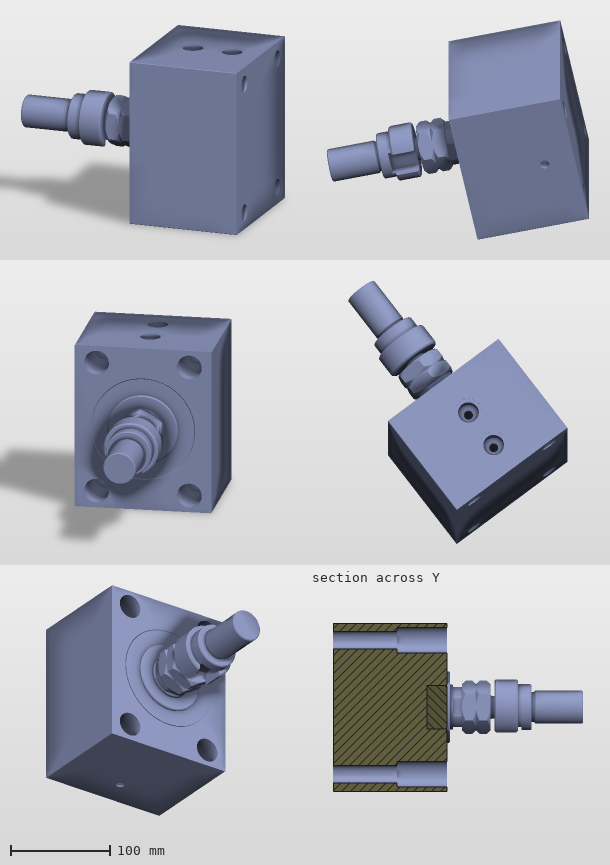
import cadquery as cq
import math


BLOCK_LENGTH = 115.0
BLOCK_WIDTH = 140.0
BLOCK_HEIGHT = 170.0
BLOCK_EDGE_CHAMFER = 0.5
BOLT_SPACING_Y = 95.0
BOLT_SPACING_Z = 135.0
BOLT_HOLE_DIAMETER = 17.1
BOLT_HEAD_DIAMETER = 25.2
BOLT_HEAD_DEPTH = 50.5

FRONT_PORT_X = 42.0
REAR_PORT_X = 2 * FRONT_PORT_X
PORT_SEAT_DIAMETER = 28.2
PORT_SEAT_DEPTH = 0.3
PORT_THREAD_DIAMETER = 21.0
PORT_THREAD_DEPTH = 13.4
PORT_PILOT_DIAMETER = 9.0

GLAND_DIAMETER = 104.8
GLAND_DEPTH = 20.2
GLAND_SEAT_CHAMFER = 1.0
FLANGE_DIAMETER = 72.0
FLANGE_HEIGHT = 3.0
FLANGE_CHAMFER = 1.0

ROD_DIAMETER = 45.4
ROD_CHAMFER = 0.8
ROD_TIP_DIAMETER = 44.4
ROD_TIP_CHAMFER = 0.5
ROD_FLATS_WIDTH = 40.3
ROD_SHOULDER_X = -6.3
ROD_TIP_X = -15
ROD_END_X = (FRONT_PORT_X + REAR_PORT_X) / 2

HEX_WIDTH = 46.5
NUT_HEIGHT = 14.0
COUPLING_HEX_HEIGHT = 14.4
HEX_CHAMFER_ANGLE = 45
SHANK_DIAMETER = 22.7
SHANK_ENGAGEMENT = SHANK_DIAMETER

NECK_LENGTH = 4.3
NECK_DIAMETER = 22.7
NECK_FOOT_DIAMETER = 24.2
NECK_FOOT_LENGTH = 1.5
HEAD_DIAMETER = 56.0
HEAD_LENGTH = 23.7
HEAD_CHAMFER = 1.5
SHOULDER_DIAMETER = 46.4
SHOULDER_LENGTH = 13.5
SHOULDER_CHAMFER = 1.0
PIN_DIAMETER = 33.3
PIN_CHAMFER = 1.0
GROOVE_DIAMETER = 30.2
GROOVE_LENGTH = 2.8
SLOT_WIDTH = 23.7
SLOT_OVERRUN = 3.5

NUT_FRONT_X = ROD_TIP_X - NUT_HEIGHT
HEX_FRONT_X = NUT_FRONT_X - COUPLING_HEX_HEIGHT
HEAD_BACK_X = HEX_FRONT_X - NECK_LENGTH
HEAD_FRONT_X = HEAD_BACK_X - HEAD_LENGTH
SHOULDER_FRONT_X = HEAD_FRONT_X - SHOULDER_LENGTH
PIN_TIP_X = BLOCK_LENGTH - 252


def cylinder(start_x, end_x, diameter):
    """Cylinder on the rod axis between two stations."""
    return cq.Workplane("YZ", origin=(start_x, 0, 0)).circle(diameter / 2).extrude(end_x - start_x)


def upright_hole(x, bottom_z, diameter):
    """Cutter for a hole from the top face of the block down to bottom_z."""
    depth = BLOCK_HEIGHT / 2 - bottom_z
    return cq.Workplane("XY", origin=(x, 0, bottom_z)).circle(diameter / 2).extrude(depth)


def hexagon(start_x, height):
    """Hexagon with corners at +Z and -Z and both ends chamfered down to the width across flats."""
    corner_diameter = HEX_WIDTH / math.cos(math.radians(30))
    prism = (
        cq.Workplane("YZ", origin=(start_x, 0, 0))
        .transformed(rotate=(0, 0, 90))
        .polygon(6, corner_diameter)
        .extrude(height)
    )
    flat_radius = HEX_WIDTH / 2
    corner_radius = corner_diameter / 2
    chamfer_length = (corner_radius - flat_radius) / math.tan(math.radians(HEX_CHAMFER_ANGLE))
    end_x = start_x + height
    envelope = (
        cq.Workplane("XY")
        .moveTo(start_x, 0)
        .lineTo(start_x, flat_radius)
        .lineTo(start_x + chamfer_length, corner_radius)
        .lineTo(end_x - chamfer_length, corner_radius)
        .lineTo(end_x, flat_radius)
        .lineTo(end_x, 0)
        .close()
        .revolve(360, (0, 0, 0), (1, 0, 0))
    )
    return prism.intersect(envelope)


def cut_port(block, x, pilot_bottom_z):
    """Spot-faced threaded port with a pilot hole that ends at pilot_bottom_z."""
    top_z = BLOCK_HEIGHT / 2
    block = block.cut(upright_hole(x, top_z - PORT_SEAT_DEPTH, PORT_SEAT_DIAMETER))
    block = block.cut(upright_hole(x, top_z - PORT_THREAD_DEPTH, PORT_THREAD_DIAMETER))
    return block.cut(upright_hole(x, pilot_bottom_z, PORT_PILOT_DIAMETER))


def make_block():
    block = (
        cq.Workplane("XY")
        .box(BLOCK_LENGTH, BLOCK_WIDTH, BLOCK_HEIGHT)
        .translate((BLOCK_LENGTH / 2, 0, 0))
        .edges("|X")
        .chamfer(BLOCK_EDGE_CHAMFER)
    )

    block = (
        block.faces("<X")
        .workplane(origin=(0, 0, 0))
        .rect(BOLT_SPACING_Y, BOLT_SPACING_Z, forConstruction=True)
        .vertices()
        .cboreHole(BOLT_HOLE_DIAMETER, BOLT_HEAD_DIAMETER, BOLT_HEAD_DEPTH)
    )

    block = cut_port(block, FRONT_PORT_X, 0)
    block = cut_port(block, REAR_PORT_X, -BLOCK_HEIGHT / 2)

    block = block.cut(cylinder(0, GLAND_DEPTH, GLAND_DIAMETER))
    seat_mouth = cq.selectors.RadiusNthSelector(-1)
    block = block.faces("<X").edges(seat_mouth).chamfer(GLAND_SEAT_CHAMFER)
    return block.cut(cylinder(GLAND_DEPTH, ROD_END_X, ROD_DIAMETER))


def make_gland():
    flange = cylinder(-FLANGE_HEIGHT, 0, FLANGE_DIAMETER).faces("<X").chamfer(FLANGE_CHAMFER)
    gland = cylinder(0, GLAND_DEPTH, GLAND_DIAMETER).union(flange)
    return gland.cut(cylinder(-FLANGE_HEIGHT, GLAND_DEPTH, ROD_DIAMETER))


def make_rod():
    body = cylinder(ROD_SHOULDER_X, ROD_END_X, ROD_DIAMETER).faces("<X").chamfer(ROD_CHAMFER)
    tip = cylinder(ROD_TIP_X, ROD_SHOULDER_X, ROD_TIP_DIAMETER).faces("<X").chamfer(ROD_TIP_CHAMFER)

    tip_length = ROD_SHOULDER_X - ROD_TIP_X
    flats = cq.Workplane("XY").box(tip_length, ROD_FLATS_WIDTH, ROD_FLATS_WIDTH)
    tip = tip.intersect(flats.translate((ROD_TIP_X + tip_length / 2, 0, 0)))

    socket = cylinder(ROD_TIP_X, ROD_TIP_X + SHANK_ENGAGEMENT, SHANK_DIAMETER)
    return body.union(tip).cut(socket)


def make_lock_nut():
    return hexagon(NUT_FRONT_X, NUT_HEIGHT).cut(cylinder(NUT_FRONT_X, ROD_TIP_X, SHANK_DIAMETER))


def make_coupling():
    pin_end_x = SHOULDER_FRONT_X - GROOVE_LENGTH
    pin = cylinder(PIN_TIP_X, pin_end_x, PIN_DIAMETER).faces("<X or >X").chamfer(PIN_CHAMFER)
    groove = cylinder(pin_end_x, SHOULDER_FRONT_X, GROOVE_DIAMETER)

    shoulder = cylinder(SHOULDER_FRONT_X, HEAD_FRONT_X, SHOULDER_DIAMETER)
    shoulder = shoulder.faces("<X").chamfer(SHOULDER_CHAMFER)
    head = cylinder(HEAD_FRONT_X, HEAD_BACK_X, HEAD_DIAMETER).faces("<X or >X").chamfer(HEAD_CHAMFER)
    slot_length = HEAD_LENGTH + SLOT_OVERRUN
    slot_height = (HEAD_DIAMETER - NECK_DIAMETER) / 2
    slot = cq.Workplane("XY").box(slot_length, SLOT_WIDTH, slot_height)
    slot_x = HEAD_BACK_X - slot_length / 2
    slot_z = -(HEAD_DIAMETER + NECK_DIAMETER) / 4
    slotted_head = shoulder.union(head).cut(slot.translate((slot_x, 0, slot_z)))

    neck = cylinder(HEAD_BACK_X, HEX_FRONT_X, NECK_DIAMETER)
    foot = cylinder(HEX_FRONT_X - NECK_FOOT_LENGTH, HEX_FRONT_X, NECK_FOOT_DIAMETER)
    foot = foot.faces("<X").chamfer((NECK_FOOT_DIAMETER - NECK_DIAMETER) / 2)
    shank = cylinder(NUT_FRONT_X, ROD_TIP_X + SHANK_ENGAGEMENT, SHANK_DIAMETER)

    coupling = pin.union(groove).union(slotted_head).union(neck).union(foot)
    return coupling.union(hexagon(HEX_FRONT_X, COUPLING_HEX_HEIGHT)).union(shank)


block = make_block()
gland = make_gland()
rod = make_rod()
lock_nut = make_lock_nut()
coupling = make_coupling()

result = cq.Compound.makeCompound(
    [block.val(), gland.val(), rod.val(), lock_nut.val(), coupling.val()]
)